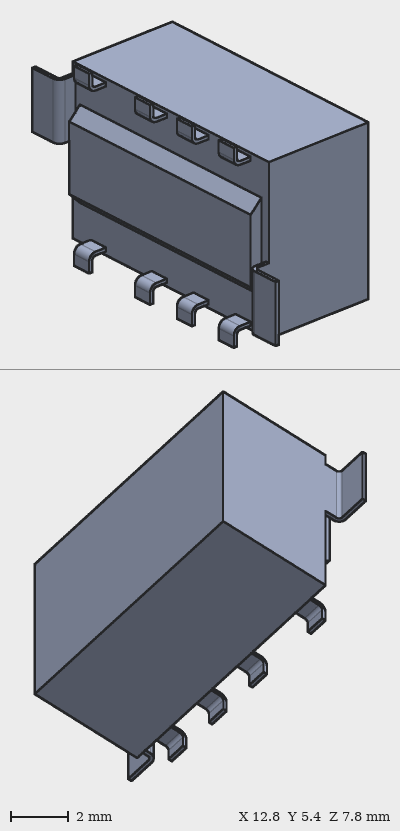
import cadquery as cq

overall_length = 12.8
body_length = 10.3
body_depth = 4.62
body_height = 6.9

rail_length = 9.54
rail_width = 3.83
rail_rise = 0.5

sheet = 0.15
bend_radius = 0.3
lead_rise = 0.78
pin_width = 0.8
pin_reach = 0.45
pin_inset = 0.15
pin_pitch = 2.2
last_pin_offset = 3.8
first_pin_offset = -last_pin_offset
tab_width = 2.5
tab_reach = (overall_length - body_length) / 2
tab_edge_gap = 0.46


def bent_lead(width, reach, inset):
    """Lead with its leg inset from a housing edge at x = 0 and its foot reaching to x = -reach.

    The leg lies on the +X side, the lead rises towards -Y and its width is centred on Z = 0.
    """
    leg_outer = inset + sheet
    profile = (
        cq.Workplane("XY")
        .moveTo(inset, 0)
        .lineTo(leg_outer, 0)
        .lineTo(leg_outer, bend_radius - lead_rise)
        .radiusArc((leg_outer - bend_radius, -lead_rise), bend_radius)
        .lineTo(-reach, -lead_rise)
        .lineTo(-reach, sheet - lead_rise)
        .lineTo(leg_outer - bend_radius, sheet - lead_rise)
        .radiusArc((inset, bend_radius - lead_rise), sheet - bend_radius)
        .close()
    )
    return profile.extrude(width / 2, both=True)


def make_body():
    return cq.Workplane("XY").box(body_length, body_depth, body_height, centered=(True, False, True))


def make_rail():
    base = rail_width / 2
    crest = base - rail_rise
    return (
        cq.Workplane("YZ")
        .polyline([(0, -base), (-rail_rise, -crest), (-rail_rise, crest), (0, base)])
        .close()
        .extrude(rail_length / 2, both=True)
    )


result = make_body().union(make_rail())

lower_pin = bent_lead(pin_width, pin_reach, pin_inset).rotate((0, 0, 0), (0, 1, 0), -90)
lower_pin = lower_pin.translate((0, 0, -body_height / 2))
upper_pin = lower_pin.mirror("XY")
pin_offsets = [first_pin_offset] + [last_pin_offset - i * pin_pitch for i in range(3)]
for offset in pin_offsets:
    for pin in (lower_pin, upper_pin):
        result = result.union(pin.translate((offset, 0, 0)))

tab_z = (body_height - tab_width) / 2 - tab_edge_gap
left_tab = bent_lead(tab_width, tab_reach, 0).translate((-body_length / 2, 0, tab_z))
right_tab = left_tab.rotate((0, 0, 0), (0, 1, 0), 180)
result = result.union(left_tab).union(right_tab)